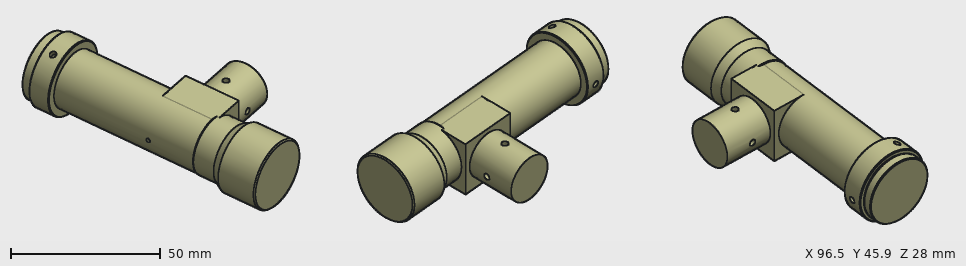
import cadquery as cq

overall_length = 96.49

cap_end = 3.4
collar_start = 3.85
collar_end = 12.05
sleeve_start = 69.5
cone_start = 78.2
cone_end = 81.4

cap_diameter = 25.4
neck_diameter = 24.7
collar_diameter = 28.0
tube_diameter = 22.0
sleeve_diameter = 22.4
eyepiece_diameter = 26.0

cap_chamfer = 0.3
collar_chamfer = 0.3
eyepiece_chamfer = 0.5
sleeve_lead_in = 0.4

branch_x = 59.95
block_width = tube_diameter
block_reach = eyepiece_diameter / 2
stub_diameter = 18.0
stub_reach = 31.9

stub_hole_diameter = 2.4
stub_hole_y = 20.8

collar_hole_diameter = 2.4
collar_hole_count = 3
collar_hole_tilt = 25.0
collar_hole_floor = 11.8

pin_hole_diameter = 1.5
pin_hole_depth = 1.0
pin_hole_x = 51.0


def make_barrel():
    """Revolve the outline of the cap, collar, tube, sleeve and eyepiece about X."""
    cap_radius = cap_diameter / 2
    neck_radius = neck_diameter / 2
    collar_radius = collar_diameter / 2
    tube_radius = tube_diameter / 2
    sleeve_radius = sleeve_diameter / 2
    eyepiece_radius = eyepiece_diameter / 2
    outline = [
        (0, 0),
        (0, cap_radius - cap_chamfer),
        (cap_chamfer, cap_radius),
        (cap_end, cap_radius),
        (cap_end, neck_radius),
        (collar_start, neck_radius),
        (collar_start, collar_radius - collar_chamfer),
        (collar_start + collar_chamfer, collar_radius),
        (collar_end - collar_chamfer, collar_radius),
        (collar_end, collar_radius - collar_chamfer),
        (collar_end, tube_radius),
        (sleeve_start, tube_radius),
        (sleeve_start + sleeve_lead_in, sleeve_radius),
        (cone_start, sleeve_radius),
        (cone_end, eyepiece_radius),
        (overall_length - eyepiece_chamfer, eyepiece_radius),
        (overall_length, eyepiece_radius - eyepiece_chamfer),
        (overall_length, 0),
    ]
    return cq.Workplane("XY").polyline(outline).close().revolve(360, (0, 0, 0), (1, 0, 0))


def make_branch():
    """Block flush with the tube's top and bottom, with the round stub on its +Y face."""
    block = cq.Workplane("XY").box(block_width, block_reach, block_width, centered=(True, False, True))
    stub = cq.Workplane("XZ").circle(stub_diameter / 2).extrude(-stub_reach)
    return block.union(stub).translate((branch_x, 0, 0))


def drill_stub_holes(body):
    """Two crossing through holes in the stub, along Z and along X."""
    center = (branch_x, stub_hole_y, 0)
    for plane in ("XY", "YZ"):
        hole = cq.Workplane(plane, origin=center).circle(stub_hole_diameter / 2)
        body = body.cut(hole.extrude(stub_diameter, both=True))
    return body


def drill_collar_holes(body):
    """Evenly spaced radial blind holes around the middle of the collar."""
    hole_x = (collar_start + collar_end) / 2
    upright = cq.Workplane("XY", origin=(hole_x, 0, collar_hole_floor))
    upright = upright.circle(collar_hole_diameter / 2).extrude(collar_diameter / 2)
    for index in range(collar_hole_count):
        angle = collar_hole_tilt + index * 360 / collar_hole_count
        body = body.cut(upright.rotate((0, 0, 0), (1, 0, 0), angle))
    return body


def drill_pin_hole(body):
    """Shallow flat-bottomed hole entering the tube from -Y."""
    floor_y = pin_hole_depth - tube_diameter / 2
    hole = cq.Workplane("XZ", origin=(pin_hole_x, floor_y, 0)).circle(pin_hole_diameter / 2)
    return body.cut(hole.extrude(2 * pin_hole_depth))


result = make_barrel().union(make_branch())
result = drill_stub_holes(result)
result = drill_collar_holes(result)
result = drill_pin_hole(result)